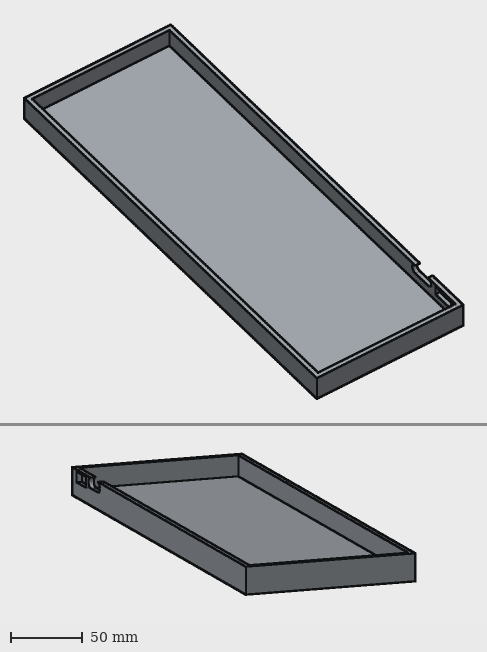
import cadquery as cq

length = 348.0
width = 126.0
height = 20.0
wall = 4.0
floor = 5.0

port_center_x = 130.0
port_width = 22.5
port_height = 7.5
port_bottom_z = height - port_height

window_center_x = 155.7
window_width = 18.6
window_bottom_z = 11.0
window_height = 7.7

inner_face_y = width / 2 - wall


def make_tray():
    """Open-topped box with an even wall all round."""
    body = cq.Workplane("XY").box(length, width, height, centered=(True, True, False))
    cavity = (
        cq.Workplane("XY")
        .workplane(offset=floor)
        .rect(length - 2 * wall, width - 2 * wall)
        .extrude(height - floor)
    )
    return body.cut(cavity)


def make_port():
    """Slot with round ends; its flat top lies in the rim, so the ends curl over to thin lips."""
    return (
        cq.Workplane("XZ", origin=(port_center_x, inner_face_y, port_bottom_z + port_height / 2))
        .slot2D(port_width, port_height)
        .extrude(-wall)
    )


def make_window():
    """Plain rectangular opening just below the rim."""
    return (
        cq.Workplane("XZ", origin=(window_center_x, inner_face_y, window_bottom_z + window_height / 2))
        .rect(window_width, window_height)
        .extrude(-wall)
    )


result = make_tray().cut(make_port()).cut(make_window())